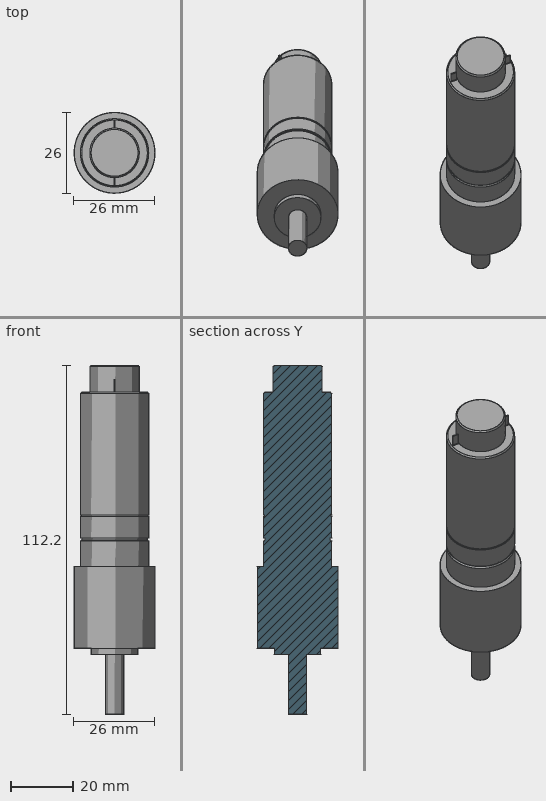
import cadquery as cq

total_height = 112.2
stem_length = 19.2
boss_height = 2.0
collar_height = 26.4
lower_body_height = 8.5
upper_body_height = 47.5
cap_height = total_height - (
    stem_length + boss_height + collar_height + lower_body_height + upper_body_height
)

stem_diameter = 6.0
boss_diameter = 15.0
collar_diameter = 26.0
body_diameter = 22.0
cap_diameter = 15.9

edge_chamfer = 0.5
upper_groove_depth = 0.2
upper_groove_width = 0.3
upper_groove_above_joint = 7.7
joint_groove_width = 0.6
joint_groove_depth = edge_chamfer

fin_thickness = 0.3
fin_length = 1.9
fin_height = 4.0
fin_tip_radius = 10.2

boss_base = stem_length
collar_base = boss_base + boss_height
lower_body_base = collar_base + collar_height
upper_body_base = lower_body_base + lower_body_height
cap_base = upper_body_base + upper_body_height


def cylinder(diameter, base, height):
    return cq.Workplane("XY").workplane(offset=base).circle(diameter / 2).extrude(height)


def chamfered_cylinder(diameter, base, height):
    return cylinder(diameter, base, height).faces(">Z").edges().chamfer(edge_chamfer)


def ring_groove(base, width, depth):
    core_diameter = body_diameter - 2 * depth
    return cylinder(body_diameter, base, width).cut(cylinder(core_diameter, base, width))


def fins():
    center_radius = fin_tip_radius - fin_length / 2
    return (
        cq.Workplane("XY")
        .workplane(offset=cap_base)
        .pushPoints([(0, center_radius), (0, -center_radius)])
        .rect(fin_thickness, fin_length)
        .extrude(fin_height)
    )


upper_groove_base = upper_body_base + upper_groove_above_joint - upper_groove_width / 2

result = (
    cylinder(stem_diameter, 0, stem_length)
    .union(cylinder(boss_diameter, boss_base, boss_height))
    .union(cylinder(collar_diameter, collar_base, collar_height))
    .union(chamfered_cylinder(body_diameter, lower_body_base, lower_body_height))
    .union(chamfered_cylinder(body_diameter, upper_body_base, upper_body_height))
    .union(chamfered_cylinder(cap_diameter, cap_base, cap_height))
    .union(fins())
    .cut(ring_groove(upper_body_base, joint_groove_width, joint_groove_depth))
    .cut(ring_groove(upper_groove_base, upper_groove_width, upper_groove_depth))
)